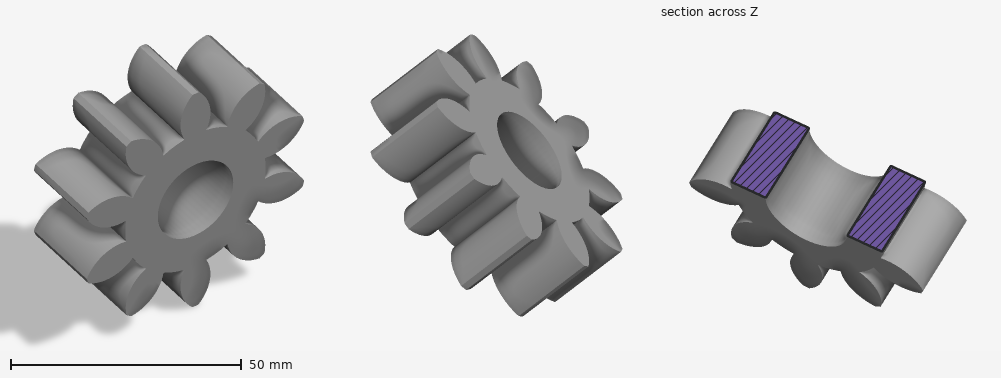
import cadquery as cq
import math

tooth_count = 10
face_width = 20.0
bore_diameter = 20.0
tip_height = 30.0
root_radius = 18.6
tip_half_width = 0.8
bulge_half_width = 3.95
bulge_height = 22.5
root_half_width = 2.9

root_height = math.sqrt(root_radius**2 - root_half_width**2)


def make_hub():
    """Root cylinder, extruded along X and centred on the origin."""
    return cq.Workplane("YZ").circle(root_radius).extrude(face_width / 2, both=True)


def make_tooth():
    """Upright tooth with arched flanks and a flat tip, its foot closed inside the hub."""
    return (
        cq.Workplane("YZ")
        .moveTo(-root_half_width, root_height)
        .threePointArc((-bulge_half_width, bulge_height), (-tip_half_width, tip_height))
        .lineTo(tip_half_width, tip_height)
        .threePointArc((bulge_half_width, bulge_height), (root_half_width, root_height))
        .close()
        .extrude(face_width / 2, both=True)
    )


def add_teeth(hub):
    """Join the evenly spaced teeth to the hub."""
    gear = hub
    tooth = make_tooth()
    for index in range(tooth_count):
        angle = index * 360 / tooth_count
        gear = gear.union(tooth.rotate((0, 0, 0), (1, 0, 0), angle))
    return gear


def make_bore():
    """Through bore along the gear axis."""
    return cq.Workplane("YZ").circle(bore_diameter / 2).extrude(face_width / 2, both=True)


result = add_teeth(make_hub()).cut(make_bore())